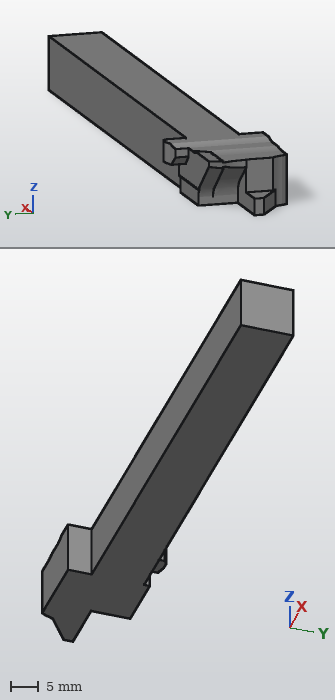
import cadquery as cq

length = 103.3
height = 10.0
shank_side = 10.0

head_back = 21.0
head_width = 15.8
side_front_x = 6.6
nose_x = 5.1
nose_y = 3.1
notch_y = 8.2
seat_y = 12.8
tip_x = 3.2
seat_corner_x = 3.9
notch_x = 4.8
rake_z = 9.2
rake_end_x = 9.4
land_start_x = 12.1
land_z = 9.5
step_end_x = 17.5
base_width = 15.6
base_height = 3.1

tooth_height = 3.1
tooth_flat_y = 6.4
tooth_root_x = 6.2
tooth_root_y = 2.0

undercut_wall_x = 10.1
undercut_wall_z = 1.5

lobe_front = 15.3
lobe_width = 19.0
lobe_bottom = 6.2
lobe_chamfer = 1.8
lobe_round = 0.6
lobe_front_y = 18.3
lobe_bend_y = 18.6
lobe_crest_x = 18.9
shank_y = (lobe_width - shank_side) / 2

seat_end = 11.7
seat_inner_z = 9.4
seat_outer_z = 9.8


def extrude_along_y(profile, y_start, y_end):
    """Extrude a closed XZ profile between two Y positions."""
    return profile.close().extrude(y_start - y_end).translate((0, y_start, 0))


def make_shank():
    size = (length - head_back, shank_side, shank_side)
    return cq.Workplane("XY").box(*size, centered=False).translate((head_back, shank_y, 0))


def head_plan():
    """Head outline from above, without the tooth and lobe."""
    return (
        cq.Workplane("XY")
        .moveTo(side_front_x, 0)
        .lineTo(head_back, 0)
        .lineTo(head_back, head_width)
        .lineTo(tip_x, head_width)
        .lineTo(seat_corner_x, seat_y)
        .threePointArc((4.5, 11.1), (notch_x, notch_y))
        .lineTo(nose_x, notch_y)
        .lineTo(nose_x, nose_y)
        .threePointArc((5.8, 2.0), (6.1, 1.0))
        .close()
        .extrude(height)
    )


def make_lobe():
    plan = (
        cq.Workplane("XY")
        .moveTo(lobe_front, seat_y)
        .lineTo(lobe_front, lobe_front_y)
        .lineTo(step_end_x, lobe_bend_y)
        .lineTo(lobe_crest_x, lobe_width)
        .lineTo(head_back - lobe_round, lobe_width)
        .lineTo(head_back, lobe_width - lobe_round)
        .lineTo(head_back, seat_y)
        .close()
        .extrude(height)
    )
    side = (
        cq.Workplane("XZ")
        .moveTo(lobe_front, height)
        .lineTo(lobe_front, lobe_bottom + lobe_chamfer)
        .lineTo(lobe_front + lobe_chamfer, lobe_bottom)
        .lineTo(head_back, lobe_bottom)
        .lineTo(head_back, height)
    )
    return plan.intersect(extrude_along_y(side, 0, lobe_width))


def make_tooth():
    return (
        cq.Workplane("XY")
        .moveTo(0, notch_y)
        .lineTo(0, tooth_flat_y)
        .lineTo(tooth_root_x, tooth_root_y)
        .lineTo(tooth_root_x, notch_y)
        .close()
        .extrude(tooth_height)
    )


def rake_cut():
    """Material above the stepped chip-forming top face."""
    profile = (
        cq.Workplane("XZ")
        .moveTo(0, rake_z)
        .lineTo(rake_end_x, rake_z)
        .threePointArc((10.8, 9.3), (land_start_x, land_z))
        .lineTo(lobe_front, land_z)
        .threePointArc((16.4, 9.7), (step_end_x, height))
        .lineTo(0, height)
    )
    return extrude_along_y(profile, 0, lobe_width)


def make_seat():
    """Cutting seat standing slightly above the rake face and rising sideways to the outer edge."""
    wedge = (
        cq.Workplane("YZ")
        .moveTo(seat_y, rake_z)
        .lineTo(seat_y, seat_inner_z)
        .lineTo(head_width, seat_outer_z)
        .lineTo(head_width, rake_z)
        .close()
        .extrude(seat_end)
    )
    return wedge.intersect(head_plan())


def undercut(start_x, start_z, bend_x, bend_z, y_start, y_end):
    """Clearance sloping back below the edge and curving into an upright wall."""
    profile = (
        cq.Workplane("XZ")
        .moveTo(0, start_z)
        .lineTo(start_x, start_z)
        .lineTo(bend_x, bend_z)
        .spline(
            [(undercut_wall_x, undercut_wall_z)],
            tangents=[(bend_x - start_x, bend_z - start_z), (0, -1)],
            includeCurrent=True,
        )
        .lineTo(undercut_wall_x, 0)
        .lineTo(0, 0)
    )
    return extrude_along_y(profile, y_start, y_end)


def base_relief():
    """Slight setback of the lower part of the head's outer side."""
    size = (head_back, head_width - base_width, base_height)
    return cq.Workplane("XY").box(*size, centered=False).translate((0, base_width, 0))


head = head_plan().union(make_lobe())
head = head.cut(rake_cut()).union(make_seat())
head = head.cut(
    undercut(start_x=4.1, start_z=8.4, bend_x=8.5, bend_z=4.9, y_start=notch_y, y_end=seat_y)
)
head = head.cut(
    undercut(start_x=tip_x, start_z=8.8, bend_x=8.9, bend_z=3.7, y_start=seat_y, y_end=head_width)
)
head = head.cut(base_relief())

result = head.union(make_tooth()).union(make_shank())